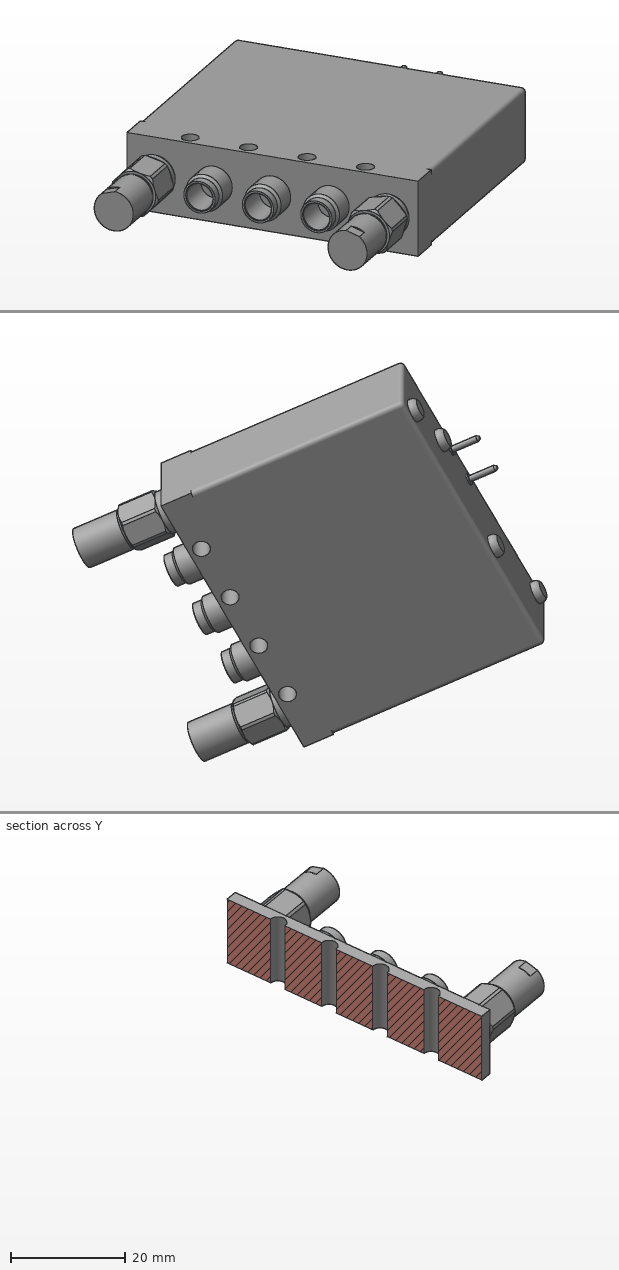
import cadquery as cq
import math

width = 55.6
height = 14.2
total_length = 71.15
plate_thickness = 5.8
box_depth = 47.3
box_fillet = 0.85

connector_pitch = 11.2
hole_diameter = 3.1
hole_setback = 2.35

socket_diameter = 7.0
socket_lip_diameter = 6.0
socket_bore_diameter = 5.0
socket_mouth_chamfer = 0.15
socket_shoulder_start = 4.2
socket_shoulder_end = 4.7
socket_length = 6.3

neck_diameter = 7.2
neck_length = 0.4
collar_diameter = 7.9
hex_start = 2.0
hex_end = 9.2
hex_across_flats = 8.1
hex_corner_diameter = 9.0
hex_chamfer = 0.35
groove_diameter = 7.1
groove_width = 0.4
cap_diameter = 7.5
cap_length = 18.2
cap_turn = 17.0
flat_width = 2.6
flat_length = 2.1

screw_diameter = 4.2
screw_height = 1.5
screw_rim_height = 0.4
screw_top_diameter = 3.05
screw_bulge = 0.15
corner_screw_x = 23.9
low_screw_z = -4.2
screw_centers = [
    (-corner_screw_x, -low_screw_z),
    (corner_screw_x, low_screw_z),
    (-7.4, low_screw_z),
    (13.3, 1.15),
]

pin_diameter = 1.15
pin_tip_length = 0.5
pin_tip_inset = 0.3
pin_base_diameter = 2.1
pin_base_height = 0.3
pin_z = 4.4
pin_xs = [2.1, 8.95]
pin_length = total_length - cap_length - box_depth


def forward_cylinder(diameter, start, end):
    """Cylinder on the Y axis between two distances in front of the plate."""
    return cq.Workplane("XZ", origin=(0, -start, 0)).circle(diameter / 2).extrude(end - start)


def backward_cylinder(diameter, length):
    """Cylinder on the Y axis rising from the back face."""
    return cq.Workplane("XZ", origin=(0, box_depth, 0)).circle(diameter / 2).extrude(-length)


def make_box():
    cover_depth = box_depth - plate_thickness
    cover = (
        cq.Workplane("XY")
        .box(width, cover_depth, height)
        .translate((0, plate_thickness + cover_depth / 2, 0))
        .edges("|Y or >Y")
        .fillet(box_fillet)
    )
    plate = cq.Workplane("XY").box(width, plate_thickness, height).translate((0, plate_thickness / 2, 0))
    holes = (
        cq.Workplane("XY", origin=(0, hole_setback, -height / 2))
        .rarray(connector_pitch, 0.7, 4, 1)
        .circle(hole_diameter / 2)
        .extrude(height)
    )
    return cover.union(plate).cut(holes)


def make_socket():
    """Stepped sleeve with a conical shoulder, bored back to the plate face and chamfered at the mouth."""
    bore_radius = socket_bore_diameter / 2
    lip_radius = socket_lip_diameter / 2
    outer_radius = socket_diameter / 2
    profile = [
        (bore_radius, 0),
        (outer_radius, 0),
        (outer_radius, -socket_shoulder_start),
        (lip_radius, -socket_shoulder_end),
        (lip_radius, -socket_length),
        (bore_radius + socket_mouth_chamfer, -socket_length),
        (bore_radius, -socket_length + socket_mouth_chamfer),
    ]
    return cq.Workplane("XY").polyline(profile).close().revolve(360, (0, 0), (0, 1))


def make_nut():
    """Hexagon with truncated corners and chamfered ends."""
    corner_to_corner = hex_across_flats / math.cos(math.pi / 6)
    nut_length = hex_end - hex_start
    hexagon = (
        cq.Workplane("XZ", origin=(0, -hex_start, 0))
        .polygon(6, corner_to_corner)
        .extrude(nut_length)
        .rotate((0, 0, 0), (0, 1, 0), 30)
    )
    envelope = (
        forward_cylinder(hex_corner_diameter, hex_start, hex_end)
        .faces("<Y or >Y")
        .chamfer(hex_chamfer, (hex_corner_diameter - hex_across_flats) / 2)
    )
    return hexagon.intersect(envelope)


def make_cap():
    """Terminating cap with its wrench flat facing +Z."""
    sleeve_start = hex_end + groove_width
    cap = (
        forward_cylinder(neck_diameter, 0, neck_length)
        .union(forward_cylinder(collar_diameter, neck_length, hex_start))
        .union(make_nut())
        .union(forward_cylinder(groove_diameter, hex_end, sleeve_start))
        .union(forward_cylinder(cap_diameter, sleeve_start, cap_length))
    )
    cap_radius = cap_diameter / 2
    flat_z = math.sqrt(cap_radius**2 - (flat_width / 2) ** 2)
    flat_cutter = (
        cq.Workplane("XY", origin=(0, -cap_length + flat_length / 2, flat_z))
        .rect(cap_diameter, flat_length)
        .extrude(cap_radius)
    )
    return cap.cut(flat_cutter)


def make_screw():
    """Pan head: a short straight rim, a bulging shoulder and a flat top."""
    rim_radius = screw_diameter / 2
    top_radius = screw_top_diameter / 2
    rim_y = box_depth + screw_rim_height
    top_y = box_depth + screw_height
    chord_x = rim_radius - top_radius
    chord_y = top_y - rim_y
    chord = math.hypot(chord_x, chord_y)
    shoulder_x = (rim_radius + top_radius) / 2 + screw_bulge * chord_y / chord
    shoulder_y = (rim_y + top_y) / 2 + screw_bulge * chord_x / chord
    return (
        cq.Workplane("XY")
        .moveTo(0, box_depth)
        .lineTo(rim_radius, box_depth)
        .lineTo(rim_radius, rim_y)
        .threePointArc((shoulder_x, shoulder_y), (top_radius, top_y))
        .lineTo(0, top_y)
        .close()
        .revolve(360, (0, 0), (0, 1))
    )


def make_pin():
    base = backward_cylinder(pin_base_diameter, pin_base_height)
    shaft = backward_cylinder(pin_diameter, pin_length).faces(">Y").chamfer(pin_tip_length, pin_tip_inset)
    return base.union(shaft)


result = make_box()

socket = make_socket()
for step in (-1, 0, 1):
    result = result.union(socket.translate((step * connector_pitch, 0, 0)))

cap = make_cap()
for side in (-1, 1):
    turned_cap = cap.rotate((0, 0, 0), (0, 1, 0), side * cap_turn)
    result = result.union(turned_cap.translate((side * 2 * connector_pitch, 0, 0)))

screw = make_screw()
for screw_x, screw_z in screw_centers:
    result = result.union(screw.translate((screw_x, 0, screw_z)))

pin = make_pin()
for pin_x in pin_xs:
    result = result.union(pin.translate((pin_x, 0, pin_z)))